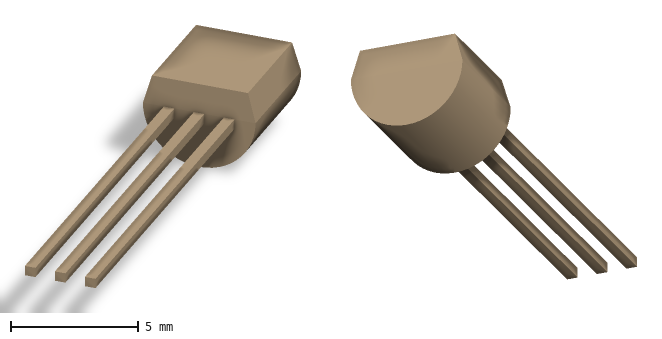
import cadquery as cq

total_length = 19.52

body_length = 4.82
body_radius = 2.38
flat_height = 1.23
flat_width = 4.06
end_draft = 0.08

lead_count = 3
lead_pitch = 1.27
lead_width = 0.45
lead_thickness = 0.41

body_front = total_length - body_length


def make_round_half():
    """Half cylinder below the parting plane."""
    return (
        cq.Workplane("XZ", origin=(0, total_length, 0))
        .moveTo(-body_radius, 0)
        .threePointArc((0, -body_radius), (body_radius, 0))
        .close()
        .extrude(body_length)
    )


def make_tapered_half():
    """Block above the parting plane, narrowing on all four sides to the flat face."""
    body_middle = body_front + body_length / 2
    return (
        cq.Workplane("XY", origin=(0, body_middle, 0))
        .rect(2 * body_radius, body_length)
        .workplane(offset=flat_height)
        .rect(flat_width, body_length - 2 * end_draft)
        .loft(ruled=True)
    )


def make_leads():
    """Row of straight leads just below the parting plane, ending at the body's front face."""
    return (
        cq.Workplane("XY")
        .rarray(lead_pitch, 0.2, lead_count, 1)
        .rect(lead_width, body_front)
        .extrude(-lead_thickness)
        .translate((0, body_front / 2, 0))
    )


result = make_round_half().union(make_tapered_half()).union(make_leads())